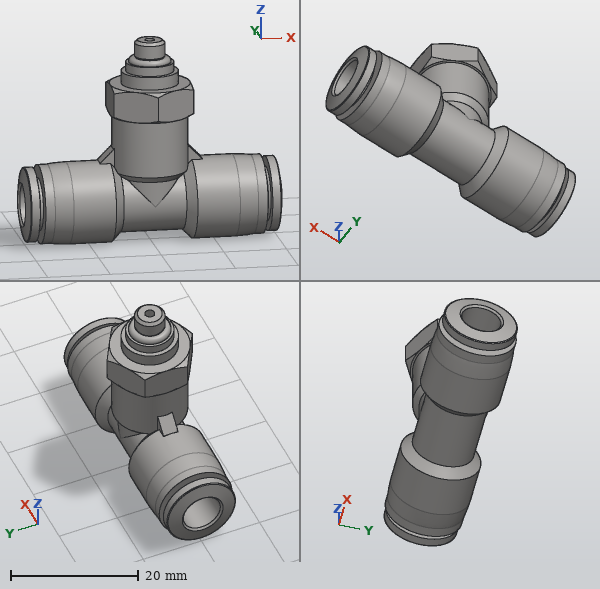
import cadquery as cq
import math

half_length = 20.5
run_radius = 5.0
run_half_length = 5.0
port_radius = 13.0 / 2
shoulder_x = run_half_length + port_radius - run_radius
taper_start_x = 13.3
taper_end_x = 16.25
port_mouth_radius = 12.5 / 2
port_mouth_x = 17.75

neck_radius = 8.35 / 2
neck_flare = 0.15
neck_flare_x = 18.2
collar_radius = 11.8 / 2
collar_inner_x = 18.57
collar_rim_x = 19.9
collar_bevel_x = 20.0
collar_bevel_radius = 5.75

socket_radius = 6.35 / 2
socket_mouth_chamfer = 0.33
socket_bottom_x = shoulder_x
passage_radius = 1.5 / 2

branch_radius = 12.0 / 2
branch_cone_top_z = 5.0
branch_cone_bottom_z = branch_cone_top_z - (branch_radius - run_radius)

nut_flats = 12.7
nut_bottom_z = 13.95
nut_height = 4.95
nut_top_z = nut_bottom_z + nut_height
nut_chamfer_angle = 30.0

flange_radius = 9.0 / 2
flange_top_z = 20.9
thread_radius = 7.6 / 2
thread_top_z = 22.35
ring_section_radius = 0.75
ring_outer_radius = 3.35
ring_top_z = 23.15
pin_radius = 4.85 / 2
pin_top_z = 32.4 - port_radius
pin_top_chamfer = (pin_radius * 2 - 3.9) / 2
pin_bottom_chamfer = 0.15
pin_bottom_z = ring_top_z

web_width = 2.5
web_foot_x = 8.15
web_foot_z = 6.48


def make_run_half():
    """Revolve the right half of the run and its collar about X."""
    outline = (
        cq.Workplane("XY")
        .moveTo(0, 0)
        .lineTo(0, run_radius)
        .lineTo(run_half_length, run_radius)
        .lineTo(shoulder_x, port_radius)
        .lineTo(taper_start_x, port_radius)
        .tangentArcPoint((taper_end_x, port_mouth_radius), relative=False)
        .lineTo(port_mouth_x, port_mouth_radius)
        .lineTo(port_mouth_x, neck_radius)
        .lineTo(neck_flare_x, neck_radius)
        .lineTo(collar_inner_x, neck_radius + neck_flare)
        .lineTo(collar_inner_x, collar_radius)
        .lineTo(collar_rim_x, collar_radius)
        .lineTo(collar_bevel_x, collar_bevel_radius)
        .lineTo(half_length, socket_radius + socket_mouth_chamfer)
        .lineTo(half_length, 0)
        .close()
    )
    return outline.revolve(360, (0, 0, 0), (1, 0, 0))


def make_branch():
    """Revolve the arm that rises from the run to the nut."""
    outline = (
        cq.Workplane("XZ")
        .lineTo(run_radius, 0)
        .lineTo(run_radius, branch_cone_bottom_z)
        .lineTo(branch_radius, branch_cone_top_z)
        .lineTo(branch_radius, nut_bottom_z)
        .lineTo(0, nut_bottom_z)
        .close()
    )
    return outline.revolve(360, (0, 0, 0), (0, 1, 0))


def make_nut():
    """Hexagon with flats facing X and its corners turned down at both ends."""
    flat_radius = nut_flats / 2
    corner_radius = flat_radius / math.cos(math.pi / 6)
    chamfer_height = (corner_radius - flat_radius) * math.tan(math.radians(nut_chamfer_angle))
    hexagon = (
        cq.Workplane("XY", origin=(0, 0, nut_bottom_z))
        .transformed(rotate=(0, 0, 30))
        .polygon(6, 2 * corner_radius)
        .extrude(nut_height)
    )
    turned_blank = (
        cq.Workplane("XZ")
        .moveTo(0, nut_bottom_z)
        .lineTo(flat_radius, nut_bottom_z)
        .lineTo(corner_radius, nut_bottom_z + chamfer_height)
        .lineTo(corner_radius, nut_top_z - chamfer_height)
        .lineTo(flat_radius, nut_top_z)
        .lineTo(0, nut_top_z)
        .close()
        .revolve(360, (0, 0, 0), (0, 1, 0))
    )
    return hexagon.intersect(turned_blank)


def make_stud():
    """Flange, threaded section, seal ring and pin, revolved about Z."""
    steps = (
        cq.Workplane("XZ")
        .moveTo(0, nut_top_z)
        .lineTo(flange_radius, nut_top_z)
        .lineTo(flange_radius, flange_top_z)
        .lineTo(thread_radius, flange_top_z)
        .lineTo(thread_radius, thread_top_z)
        .lineTo(pin_radius - pin_bottom_chamfer, thread_top_z)
        .lineTo(pin_radius - pin_bottom_chamfer, pin_bottom_z)
        .lineTo(pin_radius, pin_bottom_z + pin_bottom_chamfer)
        .lineTo(pin_radius, pin_top_z - pin_top_chamfer)
        .lineTo(pin_radius - pin_top_chamfer, pin_top_z)
        .lineTo(0, pin_top_z)
        .close()
        .revolve(360, (0, 0, 0), (0, 1, 0))
    )
    seal_ring = (
        cq.Workplane("XZ")
        .center(ring_outer_radius - ring_section_radius, ring_top_z - ring_section_radius)
        .circle(ring_section_radius)
        .revolve(360, (ring_section_radius - ring_outer_radius, 0, 0),
                 (ring_section_radius - ring_outer_radius, 1, 0))
    )
    return steps.union(seal_ring)


def make_webs():
    """Both webs as one 45 degree gable running through the branch."""
    return (
        cq.Workplane("XZ")
        .moveTo(-web_foot_x, 0)
        .lineTo(-web_foot_x, web_foot_z)
        .lineTo(0, web_foot_z + web_foot_x)
        .lineTo(web_foot_x, web_foot_z)
        .lineTo(web_foot_x, 0)
        .close()
        .extrude(web_width / 2, both=True)
    )


def make_socket():
    """Tube socket in the right end, with a chamfered mouth."""
    mouth_x = half_length - socket_mouth_chamfer
    return (
        cq.Workplane("XY")
        .moveTo(socket_bottom_x, 0)
        .lineTo(socket_bottom_x, socket_radius)
        .lineTo(mouth_x, socket_radius)
        .lineTo(half_length, socket_radius + socket_mouth_chamfer)
        .lineTo(half_length, 0)
        .close()
        .revolve(360, (0, 0, 0), (1, 0, 0))
    )


run_half = make_run_half()
socket = make_socket()
run_passage = cq.Workplane("YZ").circle(passage_radius).extrude(half_length, both=True)
branch_passage = cq.Workplane("XY").circle(passage_radius).extrude(pin_top_z)

result = (
    run_half.union(run_half.mirror("YZ"))
    .union(make_branch())
    .union(make_webs())
    .union(make_nut())
    .union(make_stud())
    .cut(socket)
    .cut(socket.mirror("YZ"))
    .cut(run_passage)
    .cut(branch_passage)
)